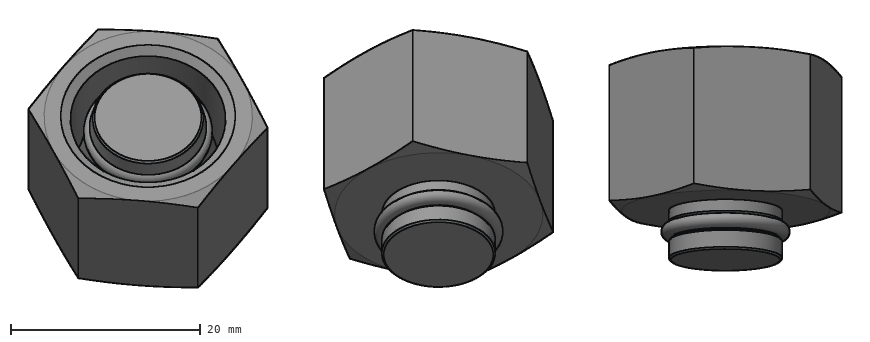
import cadquery as cq
import math

hex_corner_diameter = 25.4
hex_flat_diameter = hex_corner_diameter * math.cos(math.radians(30))
nut_bottom = 5.3
nut_height = 15.5
nut_top = nut_bottom + nut_height
corner_chamfer_angle = 15.0
bore_diameter = 16.38
bore_mouth_diameter = 18.45
bore_mouth_angle = 30.0

stem_diameter = 12.0
plug_top = 20.55
taper_angle = 12.0
nose_tip_radius = 5.85
edge_chamfer = 0.2
taper_slope = math.tan(math.radians(taper_angle))
nose_edge_height = plug_top - edge_chamfer
bore_floor = nose_edge_height - (bore_diameter / 2 - nose_tip_radius) / taper_slope

ring_section_diameter = 1.55
groove_diameter = 10.5
groove_width = 1.7
stem_ring_height = 3.05
nose_ring_height = 17.9
ring_heights = [stem_ring_height, nose_ring_height]


def revolve_profile(points):
    """Revolve a closed (radius, height) outline around the Z axis."""
    return cq.Workplane("XZ").polyline(points).close().revolve(360, (0, 0, 0), (0, 1, 0))


def nose_radius(height):
    """Radius of the tapered nose at a given height."""
    return nose_tip_radius + (nose_edge_height - height) * taper_slope


def make_nut():
    hexagon = (
        cq.Workplane("XY").workplane(offset=nut_bottom)
        .polygon(6, hex_corner_diameter).extrude(nut_height)
    )

    flat_radius = hex_flat_diameter / 2
    corner_radius = hex_corner_diameter / 2
    drop = (corner_radius - flat_radius) * math.tan(math.radians(corner_chamfer_angle))
    envelope = revolve_profile([
        (0, nut_bottom),
        (flat_radius, nut_bottom),
        (corner_radius, nut_bottom + drop),
        (corner_radius, nut_top - drop),
        (flat_radius, nut_top),
        (0, nut_top),
    ])

    bore_radius = bore_diameter / 2
    mouth_radius = bore_mouth_diameter / 2
    mouth_depth = (mouth_radius - bore_radius) * math.tan(math.radians(bore_mouth_angle))
    bore = revolve_profile([
        (0, nut_bottom),
        (stem_diameter / 2, nut_bottom),
        (stem_diameter / 2, bore_floor),
        (bore_radius, bore_floor),
        (bore_radius, nut_top - mouth_depth),
        (mouth_radius, nut_top),
        (0, nut_top),
    ])
    return hexagon.intersect(envelope).cut(bore)


def make_plug():
    stem_radius = stem_diameter / 2
    groove_radius = groove_diameter / 2
    stem_groove_bottom = stem_ring_height - groove_width / 2
    stem_groove_top = stem_ring_height + groove_width / 2
    nose_groove_bottom = nose_ring_height - groove_width / 2
    nose_groove_top = nose_ring_height + groove_width / 2
    return revolve_profile([
        (0, 0),
        (stem_radius - edge_chamfer, 0),
        (stem_radius, edge_chamfer),
        (stem_radius, stem_groove_bottom - edge_chamfer),
        (stem_radius - edge_chamfer, stem_groove_bottom),
        (groove_radius, stem_groove_bottom),
        (groove_radius, stem_groove_top),
        (stem_radius - edge_chamfer, stem_groove_top),
        (stem_radius, stem_groove_top + edge_chamfer),
        (stem_radius, bore_floor),
        (bore_diameter / 2, bore_floor),
        (nose_radius(nose_groove_bottom), nose_groove_bottom),
        (groove_radius, nose_groove_bottom),
        (groove_radius, nose_groove_top),
        (nose_radius(nose_groove_top), nose_groove_top),
        (nose_tip_radius, nose_edge_height),
        (nose_tip_radius - edge_chamfer, plug_top),
        (0, plug_top),
    ])


def make_o_ring(height):
    section_radius = ring_section_diameter / 2
    center_radius = groove_diameter / 2 + section_radius
    return (
        cq.Workplane("XZ").center(center_radius, height).circle(section_radius)
        .revolve(360, (-center_radius, 0, 0), (-center_radius, 1, 0))
    )


nut = make_nut()
plug = make_plug()
o_rings = [make_o_ring(height) for height in ring_heights]

result = cq.Compound.makeCompound([nut.val(), plug.val(), *[ring.val() for ring in o_rings]])